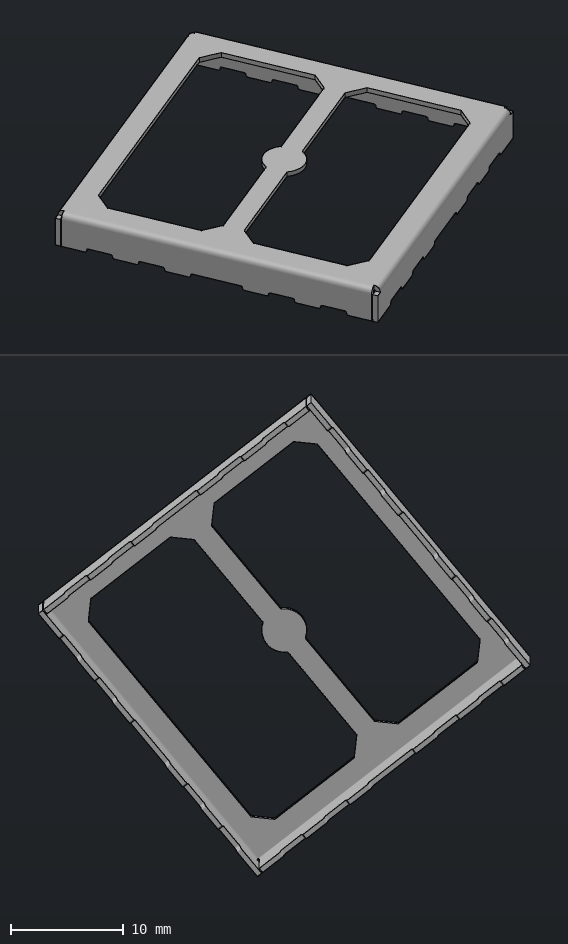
import cadquery as cq

side = 31.0
height = 3.5

sheet = 0.5
inside_radius = 0.105
bend_radius = sheet + inside_radius
bend_line = side / 2 - bend_radius

window_span = 26.0
bar_width = 2.0
disc_diameter = 4.0
corner_cut = 1.5

notch_depth = 0.4
notch_radius = notch_depth / 2
notched_span = 25.0
tooth_width = notched_span / 10


def bent_strip():
    """Top sheet bent down into a wall on its -X and +X edges, as long as the flat top."""
    length = 2 * bend_line

    def channel(width, top, radius):
        block = cq.Workplane("XY").box(width, length, top, centered=(True, True, False))
        return block.faces(">Z").edges("|Y").fillet(radius)

    outside = channel(side, height, bend_radius)
    inside = channel(side - 2 * sheet, height - sheet, inside_radius)
    return outside.cut(inside)


def wall_ends():
    """The -X and +X walls run on below the bends to the full side length."""
    wall_height = height - bend_radius
    wall = cq.Workplane("XY").box(sheet, side, wall_height, centered=(True, True, False))
    offset = (side - sheet) / 2
    return wall.translate((-offset, 0, 0)).union(wall.translate((offset, 0, 0)))


def openings():
    """Two corner-cut windows that leave a rim, a bar along Y and a round disc."""
    width = (window_span - bar_width) / 2
    offset = (bar_width + width) / 2
    windows = (
        cq.Workplane("XY")
        .pushPoints([(-offset, 0), (offset, 0)])
        .rect(width, window_span)
        .extrude(height)
        .edges("|Z")
        .chamfer(corner_cut)
    )
    disc = cq.Workplane("XY").circle(disc_diameter / 2).extrude(height)
    return windows.cut(disc)


def notch(center, width):
    """Notch with S-shaped flanks through the -Y and +Y walls."""
    r = notch_radius
    left = center - width / 2
    right = center + width / 2
    return (
        cq.Workplane("XZ")
        .moveTo(left - r, 0)
        .radiusArc((left, r), -r)
        .radiusArc((left + r, notch_depth), r)
        .lineTo(right - r, notch_depth)
        .radiusArc((right, r), r)
        .radiusArc((right + r, 0), -r)
        .close()
        .extrude(side, both=True)
    )


def turned(body):
    """The same body turned a quarter turn about the vertical axis."""
    return body.rotate((0, 0, 0), (0, 0, 1), 90)


x_strip = bent_strip()
y_strip = turned(x_strip)

result = x_strip.union(y_strip).union(wall_ends())
result = result.cut(openings())

notches = [(0, 2 * tooth_width)]
for direction in (-1, 1):
    for teeth_from_middle in (2.5, 4.5):
        notches.append((direction * teeth_from_middle * tooth_width, tooth_width))

for center, width in notches:
    cutter = notch(center, width)
    result = result.cut(cutter).cut(turned(cutter))